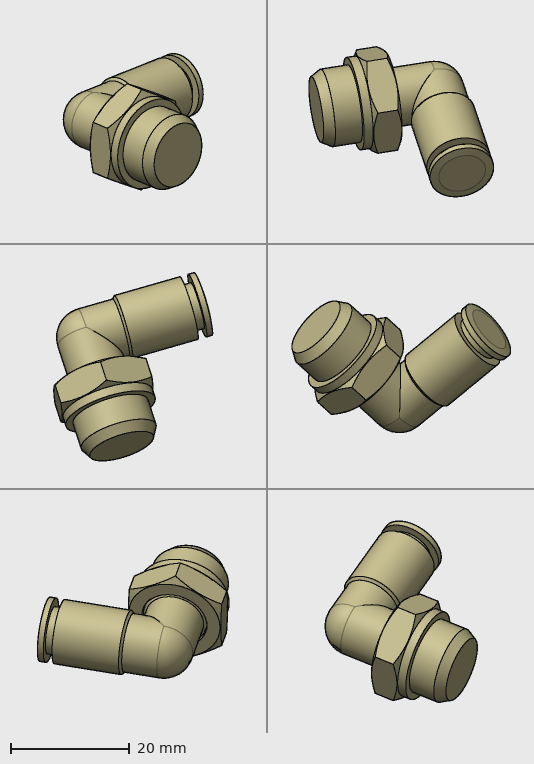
import cadquery as cq
import math

overall_length = 28.8

pipe_radius = 5.0
sleeve_radius = 5.5

nut_across_flats = 16.0
nut_start = 7.4
nut_end = 12.38
nut_face_radius = 7.9
nut_chamfer_angle = 30.0
nut_bore_radius = 5.62
nut_bore_depth = 1.45
flare_depth = 0.2
flare_length = 0.45

washer_radius = 7.9
washer_end = 13.95
spigot_radius = 6.62
spigot_tip_radius = 5.62
spigot_chamfer_start = 18.6
spigot_end = 20.4

sleeve_chamfer_start = 6.08
sleeve_start = 6.5
sleeve_end = 18.03
groove_radius = 4.03
collar_start = 19.53
collar_bevel_start = 20.55
collar_end = overall_length - nut_across_flats / 2
collar_face_radius = 4.03


def turned_about_x(profile):
    """Revolve a closed profile of (x, radius) points about the X axis."""
    return cq.Workplane("XY").polyline(profile).close().revolve(360, (0, 0), (1, 0))


def turned_about_y(profile):
    """Revolve a closed profile of (radius, y) points about the Y axis."""
    return cq.Workplane("XY").polyline(profile).close().revolve(360, (0, 0), (0, 1))


def make_nut():
    """Hexagon with corners up and down, both ends chamfered, bored from the elbow side."""
    corner_diameter = nut_across_flats / math.cos(math.radians(30))
    hexagon = (
        cq.Workplane("YZ", origin=(nut_start, 0, 0))
        .transformed(rotate=(0, 0, 90))
        .polygon(6, corner_diameter)
        .extrude(nut_end - nut_start)
    )
    corner_radius = corner_diameter / 2
    chamfer = (corner_radius - nut_face_radius) * math.tan(math.radians(nut_chamfer_angle))
    envelope = turned_about_x([
        (nut_start, 0),
        (nut_start, nut_face_radius),
        (nut_start + chamfer, corner_radius),
        (nut_end - chamfer, corner_radius),
        (nut_end, nut_face_radius),
        (nut_end, 0),
    ])
    bore = cq.Workplane("YZ", origin=(nut_start, 0, 0)).circle(nut_bore_radius).extrude(nut_bore_depth)
    return hexagon.intersect(envelope).cut(bore)


def make_x_arm():
    """Pipe that flares inside the nut bore."""
    flare_start = nut_start + flare_depth
    return turned_about_x([
        (0, 0),
        (0, pipe_radius),
        (flare_start, pipe_radius),
        (flare_start + flare_length, sleeve_radius),
        (nut_end, sleeve_radius),
        (nut_end, 0),
    ])


def make_spigot():
    """Washer followed by the spigot with its tapered tip."""
    return turned_about_x([
        (nut_end, 0),
        (nut_end, washer_radius),
        (washer_end, washer_radius),
        (washer_end, spigot_radius),
        (spigot_chamfer_start, spigot_radius),
        (spigot_end, spigot_tip_radius),
        (spigot_end, 0),
    ])


def make_y_arm():
    """Pipe, wider sleeve, groove and release collar."""
    return turned_about_y([
        (0, 0),
        (pipe_radius, 0),
        (pipe_radius, sleeve_chamfer_start),
        (sleeve_radius, sleeve_start),
        (sleeve_radius, sleeve_end),
        (groove_radius, sleeve_end),
        (groove_radius, collar_start),
        (sleeve_radius, collar_start),
        (sleeve_radius, collar_bevel_start),
        (collar_face_radius, collar_end),
        (0, collar_end),
    ])


elbow_corner = cq.Workplane("XY").sphere(pipe_radius)

result = (
    elbow_corner
    .union(make_x_arm())
    .union(make_y_arm())
    .union(make_nut())
    .union(make_spigot())
)